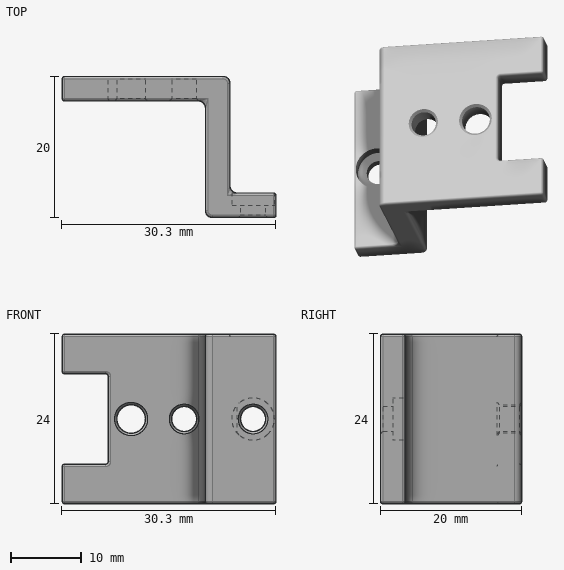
import cadquery as cq

WIDTH = 30.25
DEPTH = 20.0
HEIGHT = 24.0
THICKNESS = 3.5
FOOT_REACH = 6.5
BEND_RADIUS = 1.0
EDGE_RADIUS = 0.35

SLOT_DEPTH = 6.5
SLOT_HEIGHT = 12.75
SLOT_CORNER_RADIUS = 0.35

LARGE_HOLE_X = 9.75
LARGE_HOLE_DIAMETER = 4.0
SMALL_HOLE_X = 17.25
FOOT_HOLE_X = 27.0
SMALL_HOLE_DIAMETER = 3.5
HOLE_CHAMFER = 0.35

COUNTERBORE_DIAMETER = 6.0
COUNTERBORE_DEPTH = THICKNESS / 2

WEB_RIGHT = WIDTH - FOOT_REACH
WEB_LEFT = WEB_RIGHT - THICKNESS
REAR_FRONT = DEPTH - THICKNESS
MID_HEIGHT = HEIGHT / 2

OUTSIDE_BENDS = [(WEB_RIGHT, DEPTH), (WEB_LEFT, 0)]
INSIDE_BENDS = [(WEB_LEFT, REAR_FRONT), (WEB_RIGHT, THICKNESS)]

SLACK = 0.01


def edges_between(x_min, x_max, y_min, y_max, direction):
    """Selector for the edges along one direction whose centres lie in a plan rectangle."""
    box = cq.selectors.BoxSelector(
        (x_min - SLACK, y_min - SLACK, -SLACK),
        (x_max + SLACK, y_max + SLACK, HEIGHT + SLACK),
    )
    return box & cq.selectors.ParallelDirSelector(direction)


def round_bends(body, corners):
    """Round the upright edge at each of the given plan corners."""
    for x, y in corners:
        body = body.edges(edges_between(x, x, y, y, cq.Vector(0, 0, 1))).fillet(BEND_RADIUS)
    return body


def make_profile():
    """Extrude the Z-shaped plan and round its two outside bends."""
    plan = [
        (0, DEPTH),
        (WEB_RIGHT, DEPTH),
        (WEB_RIGHT, THICKNESS),
        (WIDTH, THICKNESS),
        (WIDTH, 0),
        (WEB_LEFT, 0),
        (WEB_LEFT, REAR_FRONT),
        (0, REAR_FRONT),
    ]
    body = cq.Workplane("XY").polyline(plan).close().extrude(HEIGHT)
    return round_bends(body, OUTSIDE_BENDS)


def make_slot():
    """Slot cutter, centred on the free end and rounded at its two closed corners."""
    return (
        cq.Workplane("XY")
        .box(2 * SLOT_DEPTH, 2 * THICKNESS, SLOT_HEIGHT)
        .edges("|Y and >X")
        .fillet(SLOT_CORNER_RADIUS)
        .translate((0, DEPTH - THICKNESS / 2, MID_HEIGHT))
    )


def round_outside_edges(body):
    """Round every edge except the web uprights and the seams of the slot corners."""
    web_uprights = edges_between(WEB_LEFT, WEB_RIGHT, 0, DEPTH, cq.Vector(0, 0, 1))
    slot_seams = edges_between(
        SLOT_DEPTH - SLOT_CORNER_RADIUS, SLOT_DEPTH, REAR_FRONT, DEPTH, cq.Vector(0, 1, 0)
    )
    return body.edges(cq.Selector() - web_uprights - slot_seams).fillet(EDGE_RADIUS)


def make_hole(x, front, diameter):
    """Cutter for a hole through a plate whose front is at Y = front, chamfered at both mouths."""
    radius = diameter / 2
    mouth = radius + HOLE_CHAMFER
    back = front + THICKNESS
    half_section = [
        (front, 0),
        (front, -mouth),
        (front + HOLE_CHAMFER, -radius),
        (back - HOLE_CHAMFER, -radius),
        (back, -mouth),
        (back, 0),
    ]
    cutter = cq.Workplane("YZ").polyline(half_section).close().revolve(360, (0, 0), (1, 0))
    return cutter.translate((x, 0, MID_HEIGHT))


def make_counterbore():
    """Cutter that widens the foot hole from the back of the foot."""
    floor = THICKNESS - COUNTERBORE_DEPTH
    axis = cq.Plane(origin=(FOOT_HOLE_X, floor, MID_HEIGHT), xDir=(1, 0, 0), normal=(0, 1, 0))
    return cq.Workplane(axis).circle(COUNTERBORE_DIAMETER / 2).extrude(COUNTERBORE_DEPTH)


body = make_profile().cut(make_slot())
body = round_outside_edges(body)
body = round_bends(body, INSIDE_BENDS)
body = body.cut(make_hole(LARGE_HOLE_X, REAR_FRONT, LARGE_HOLE_DIAMETER))
body = body.cut(make_hole(SMALL_HOLE_X, REAR_FRONT, SMALL_HOLE_DIAMETER))
body = body.cut(make_hole(FOOT_HOLE_X, 0, SMALL_HOLE_DIAMETER))
body = body.cut(make_counterbore())

result = body